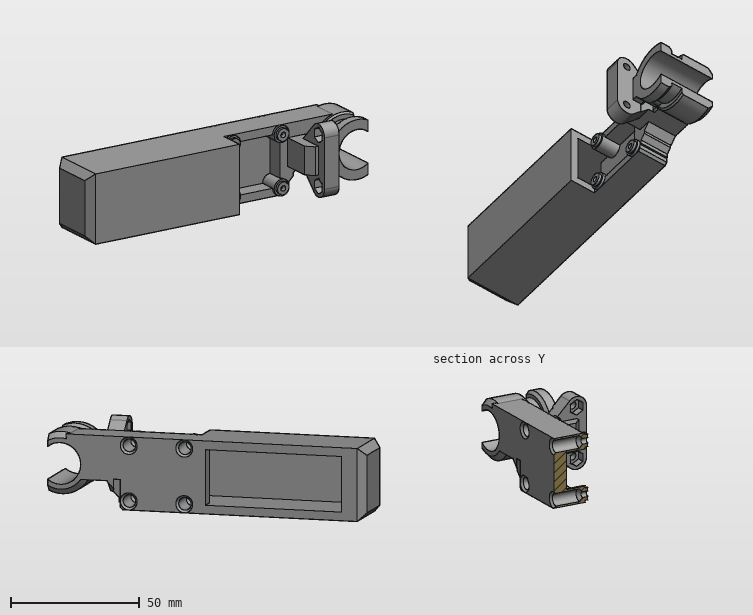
import cadquery as cq
import math

total_length = 128.0
body_height = 28.8
box_width = 24.3
box_length = 69.4
end_chamfer = 3.1
plate_thickness = 13.0
wall = 3.5

front_wall = 5.9
back_wall = 3.2
cavity_start = 9.5
window_end = 64.3

boss_diameter = 2 * wall
boss_spacing = 22.4
boss_last_y = 95.2
boss_shoulder_x = 14.2
boss_tip_x = 15.4
boss_tip_diameter = 5.2
screw_head_diameter = 5.0
screw_hole_diameter = 2.2
countersink_diameter = 6.8
screw_seat_x = 11.5

ring_y = 122.9
ring_z = 17.0
ring_radius = 12.3
bore_radius = 8.2
ring_width = 25.1
ring_chamfer = 2.2
groove_radius = 9.6
groove_start = 14.2
groove_end = 21.1
groove_start_bevel = 0.8
groove_end_bevel = 1.3
groove_rib_end = 112.0
groove_rib_fillet = 1.9

neck_end = 120.5
plate_end = boss_last_y + wall
plate_corner_chamfer = 1.0
web_half_height = 5.9
web_bottom = ring_z - web_half_height
web_top = ring_z + web_half_height

foot_slope_start = 104.2
foot_face_end = 101.4
foot_upper_slope_z = 8.2
foot_lower_slope_z = 6.9
foot_toe_end = 99.3
foot_toe_top = 4.9
foot_bottom = 3.1
foot_face_top = 11.9
foot_face_setback = 0.3

lug_x = 28.0
lug_radius = 4.5
lug_front = 103.2
lug_back = 110.0
lug_half_spacing = 10.5
ear_top = ring_z + lug_half_spacing
ear_bottom = ring_z - lug_half_spacing
web_end = 109.5
bolt_diameter = 3.2
nut_across_flats = 5.5
nut_depth = (lug_back - lug_front) / 2

gusset_end_x = 28.2
gusset_bevel = 3.1


def block(x0, x1, y0, y1, z0, z1):
    """Box between opposite corners."""
    return cq.Workplane("XY").box(x1 - x0, y1 - y0, z1 - z0, centered=False).translate((x0, y0, z0))


def turned(profile, y, z):
    """Solid turned about an axis along X; profile points are (x, radius)."""
    solid = cq.Workplane("XY").polyline(profile).close().revolve(360, (0, 0, 0), (1, 0, 0))
    return solid.translate((0, y, z))


def rod(x0, x1, radius, y, z):
    """Plain cylinder along X."""
    return turned([(x0, 0), (x1, 0), (x1, radius), (x0, radius)], y, z)


def make_body():
    """Box with a bevelled -Y end, and the plate that runs on from it."""
    box = block(0, box_width, 0, box_length, 0, body_height).faces("<Y").chamfer(end_chamfer)
    plate = block(0, plate_thickness, end_chamfer, plate_end, 0, body_height)
    plate = plate.edges(">Y and <Z").chamfer(plate_corner_chamfer)
    return box.union(plate)


def make_neck():
    """Neck between plate and ring, with the stepped foot below it."""
    outline = [
        (boss_last_y, body_height),
        (neck_end, body_height),
        (neck_end, web_bottom),
        (foot_slope_start, web_bottom),
        (foot_face_end, foot_upper_slope_z),
        (foot_face_end, foot_lower_slope_z),
        (foot_toe_end, foot_toe_top),
        (foot_toe_end, foot_bottom),
        (boss_last_y, foot_bottom),
    ]
    neck = cq.Workplane("YZ").polyline(outline).close().extrude(plate_thickness)
    recess = block(0, foot_face_setback, plate_end, foot_face_end, 0, foot_face_top)
    return neck.cut(recess)


def make_ring():
    """Ring blank with a bevelled end at X = 0 and the web to the lug; the bore and groove are cut later."""
    profile = [
        (0, 0),
        (ring_width, 0),
        (ring_width, ring_radius),
        (ring_chamfer, ring_radius),
        (0, ring_radius - ring_chamfer),
    ]
    web = block(plate_thickness, ring_width, lug_front, ring_y, web_bottom, web_top)
    return turned(profile, ring_y, ring_z).union(web)


def make_groove():
    """Groove with bevelled edges around the ring, carried through the web up to the lug.

    A rounded rib stays behind the bore.
    """
    start_wall = groove_start + groove_start_bevel
    end_wall = groove_end - groove_end_bevel
    profile = [
        (start_wall, groove_radius),
        (end_wall, groove_radius),
        (end_wall, ring_radius - groove_end_bevel),
        (groove_end, ring_radius),
        (groove_start, ring_radius),
        (start_wall, ring_radius - groove_start_bevel),
    ]
    rib = block(groove_start, groove_end, groove_rib_end, ring_y, web_bottom, web_top)
    rib = rib.edges("|X and <Y").fillet(groove_rib_fillet)
    around_ring = turned(profile, ring_y, ring_z).cut(rib)

    channel_section = [
        (groove_start, ear_bottom),
        (groove_end, ear_bottom),
        (groove_end, web_bottom),
        (end_wall, web_bottom + groove_end_bevel),
        (end_wall, web_top - groove_end_bevel),
        (groove_end, web_top),
        (groove_end, ear_top),
        (groove_start, ear_top),
        (groove_start, web_top),
        (start_wall, web_top - groove_start_bevel),
        (start_wall, web_bottom + groove_start_bevel),
        (groove_start, web_bottom),
    ]
    channel = cq.Workplane("XZ", origin=(0, groove_rib_end, 0)).polyline(channel_section).close()
    return around_ring.union(channel.extrude(groove_rib_end - web_end))


def make_lug():
    """Two rounded ears whose 45 degree flanks run down to the web."""
    diagonal = lug_radius * math.sqrt(0.5)
    tangent_x = lug_x - diagonal
    flank_x = tangent_x - (ear_top + diagonal - web_top)
    outer_x = lug_x + lug_radius
    return (
        cq.Workplane("XZ", origin=(0, lug_back, 0))
        .moveTo(plate_thickness, web_top)
        .lineTo(flank_x, web_top)
        .lineTo(tangent_x, ear_top + diagonal)
        .threePointArc((lug_x + diagonal, ear_top + diagonal), (outer_x, ear_top))
        .lineTo(outer_x, ear_bottom)
        .threePointArc((lug_x + diagonal, ear_bottom - diagonal), (tangent_x, ear_bottom - diagonal))
        .lineTo(flank_x, web_bottom)
        .lineTo(plate_thickness, web_bottom)
        .close()
        .extrude(lug_back - lug_front)
    )


def make_gusset():
    """Bevelled gusset between the plate and the -Y face of the lug."""
    outline = [
        (plate_thickness, lug_front),
        (gusset_end_x, lug_front),
        (gusset_end_x, plate_end + gusset_bevel),
        (gusset_end_x - gusset_bevel, plate_end),
        (plate_thickness, plate_end),
    ]
    gusset = cq.Workplane("XY").polyline(outline).close().extrude(web_top - web_bottom)
    return gusset.translate((0, 0, web_bottom))


def make_lug_holes():
    """Bolt holes through the ears with hexagonal nut pockets on the -Y side."""
    centers = [(lug_x, ear_bottom), (lug_x, ear_top)]
    bolts = (
        cq.Workplane("XZ", origin=(0, lug_back, 0))
        .pushPoints(centers)
        .circle(bolt_diameter / 2)
        .extrude(lug_back - lug_front)
    )
    corner_radius = nut_across_flats / math.sqrt(3)
    corners = []
    for step in range(6):
        angle = math.radians(30 + 60 * step)
        corners.append((corner_radius * math.cos(angle), corner_radius * math.sin(angle)))
    for x, z in centers:
        pocket = cq.Workplane("XZ").polyline(corners).close().extrude(nut_depth)
        bolts = bolts.union(pocket.translate((x, lug_front + nut_depth, z)))
    return bolts


def make_cavity():
    """Window, battery space and plate pocket; open at the step of the box."""
    top = body_height - wall
    window = block(0, front_wall, cavity_start, window_end, wall, top)
    battery = block(front_wall, box_width - back_wall, cavity_start, box_length, wall, top)
    pocket = block(front_wall, plate_thickness, window_end, boss_last_y, wall, top)
    return window.union(battery).union(pocket)


def make_boss(y, z):
    """Screw boss on the front wall, with a narrower tip."""
    boss = rod(front_wall, boss_shoulder_x, boss_diameter / 2, y, z)
    tip = rod(boss_shoulder_x, boss_tip_x, boss_tip_diameter / 2, y, z)
    return boss.union(tip)


def make_screw_hole(y, z):
    """Countersunk head bore with a conical seat and a pilot hole."""
    head = screw_head_diameter / 2
    pilot = screw_hole_diameter / 2
    mouth = countersink_diameter / 2
    profile = [
        (0, 0),
        (boss_tip_x, 0),
        (boss_tip_x, pilot),
        (screw_seat_x + head - pilot, pilot),
        (screw_seat_x, head),
        (mouth - head, head),
        (0, mouth),
    ]
    return turned(profile, y, z)


result = make_body().union(make_neck()).union(make_ring()).union(make_lug()).union(make_gusset())
result = result.cut(make_cavity()).cut(make_groove()).cut(make_lug_holes())
result = result.cut(rod(0, ring_width, bore_radius, ring_y, ring_z))

ring_reach = ring_y + ring_radius
result = result.cut(block(0, ring_width, total_length, ring_reach, 0, ring_z + ring_radius))

screw_rows = (boss_last_y - boss_spacing, boss_last_y)
screw_heights = (wall, body_height - wall)
screw_places = [(y, z) for y in screw_rows for z in screw_heights]
for place in screw_places:
    result = result.union(make_boss(*place))
for place in screw_places:
    result = result.cut(make_screw_hole(*place))